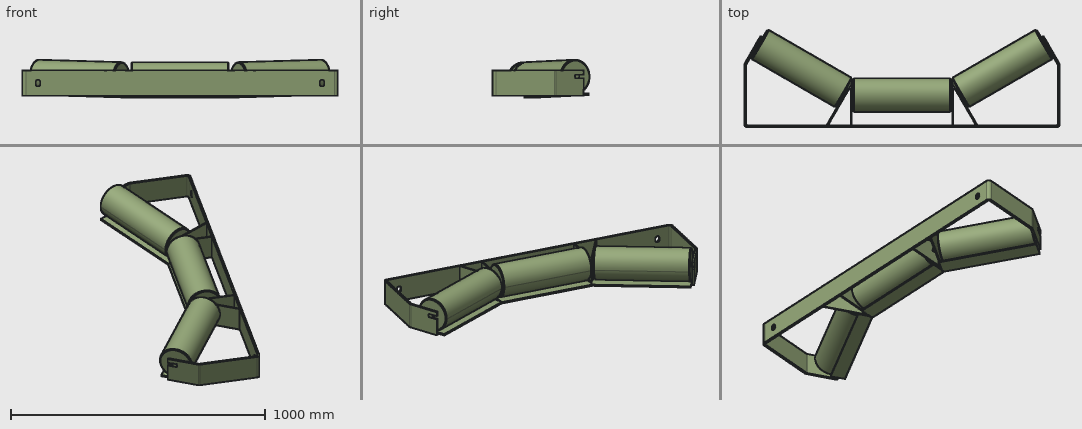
import cadquery as cq
import math


TROUGH_ANGLE = 30.0
TILT_ANGLE = 1.43
CENTRE_AXIS_Y = 126.0
WING_INNER_X = 229.0
WING_INNER_Y = 135.74

SHELL_DIAMETER = 133.0
SHELL_LENGTH = 381.0
SHELL_CHAMFER = 4.0
AXLE_DIAMETER = 20.0
AXLE_FLATS = 14.0

CENTRE_GAP = 6.0
WING_INNER_GAP = 6.0
WING_OUTER_GAP = 5.0

STRIP_WIDTH = 58.5
STRIP_LENGTH = 394.0
STRIP_THICKNESS = 6.6
STRIP_OVERLAP = 0.2
WING_STRIP_SHIFT = -5.8

FRAME_LENGTH = 1240.0
FRAME_HEIGHT = 100.0
FRAME_THICKNESS = 8.0
INNER_BEND_RADIUS = 6.0
FLAP_TIP_Y = 358.0
MOUNTING_SLOT_SPACING = 1115.0
MOUNTING_SLOT_WIDTH = 18.0
MOUNTING_SLOT_HEIGHT = 26.0

BRACKET_THICKNESS = 5.0
BRACKET_TOP_Y = 152.0
BRACKET_HEIGHT = 100.0

COS_TROUGH = math.cos(math.radians(TROUGH_ANGLE))
SIN_TROUGH = math.sin(math.radians(TROUGH_ANGLE))
TAN_TROUGH = math.tan(math.radians(TROUGH_ANGLE))
TAN_HALF_TROUGH = math.tan(math.radians(TROUGH_ANGLE / 2))
COS_TILT = math.cos(math.radians(TILT_ANGLE))

SHELL_RADIUS = SHELL_DIAMETER / 2
HALF_SHELL = SHELL_LENGTH / 2
STRIP_TOP = SHELL_RADIUS - STRIP_OVERLAP
AXIS_Z = STRIP_TOP
OUTER_BEND_RADIUS = INNER_BEND_RADIUS + FRAME_THICKNESS

SIDE_X = FRAME_LENGTH / 2
FLAP_DISTANCE = (
    WING_INNER_X * COS_TROUGH
    + WING_INNER_Y * SIN_TROUGH
    + SHELL_LENGTH * COS_TILT
    + WING_OUTER_GAP
    + FRAME_THICKNESS
)
FLAP_BEND_Y = (FLAP_DISTANCE - SIDE_X * COS_TROUGH) / SIN_TROUGH


def place_centre(body):
    """Moves a body from the roller origin to the centre roller."""
    return body.translate((0, CENTRE_AXIS_Y, AXIS_Z))


def place_wing(body):
    """Moves a body from the roller origin to the +X wing roller."""
    body = body.translate((HALF_SHELL, 0, 0))
    body = body.rotate((0, 0, 0), (0, 1, 0), -TILT_ANGLE)
    body = body.rotate((0, 0, 0), (0, 0, 1), TROUGH_ANGLE)
    return body.translate((WING_INNER_X, WING_INNER_Y, AXIS_Z))


def axle_bar(inner_reach, outer_reach):
    """Axle along X with two flats, reaching the given lengths past the shell ends."""
    length = SHELL_LENGTH + inner_reach + outer_reach
    round_bar = cq.Workplane("YZ").circle(AXLE_DIAMETER / 2).extrude(length)
    flat_bar = cq.Workplane("XY").box(
        length, AXLE_DIAMETER, AXLE_FLATS, centered=(False, True, True)
    )
    return round_bar.intersect(flat_bar).translate((-HALF_SHELL - inner_reach, 0, 0))


def roller(inner_reach, outer_reach, strip_shift):
    """Shell, axle and bottom strip, with the axis on X and the middle at the origin."""
    shell = cq.Workplane("YZ").circle(SHELL_RADIUS).extrude(SHELL_LENGTH)
    shell = shell.edges("%CIRCLE").chamfer(SHELL_CHAMFER).translate((-HALF_SHELL, 0, 0))
    strip = cq.Workplane("XY").box(
        STRIP_LENGTH, STRIP_WIDTH, STRIP_THICKNESS, centered=(True, False, False)
    )
    strip = strip.translate((strip_shift, 0, -STRIP_TOP - STRIP_THICKNESS))
    return shell.union(axle_bar(inner_reach, outer_reach)).union(strip)


def axle_slots():
    """Cutter for the open slots the two axle ends drop into, at the roller origin."""
    reach = 2 * FRAME_THICKNESS
    opening = cq.Workplane("XY").box(
        SHELL_LENGTH + 2 * reach, SHELL_DIAMETER, AXLE_FLATS, centered=(True, False, True)
    )
    return axle_bar(reach, reach).union(opening)


def half_frame():
    """The +X half of the frame: back strip, side and inward-leaning end flap."""
    tip_x = SIDE_X - (FLAP_TIP_Y - FLAP_BEND_Y) * TAN_TROUGH
    inner_x = SIDE_X - FRAME_THICKNESS
    outer_bends = [(SIDE_X, 0), (SIDE_X, FLAP_BEND_Y)]
    inner_bends = [
        (inner_x, FLAP_BEND_Y - FRAME_THICKNESS * TAN_HALF_TROUGH),
        (inner_x, FRAME_THICKNESS),
    ]
    flap_tip = [
        (tip_x, FLAP_TIP_Y),
        (tip_x - FRAME_THICKNESS * COS_TROUGH, FLAP_TIP_Y - FRAME_THICKNESS * SIN_TROUGH),
    ]
    outline = [(0, 0), *outer_bends, *flap_tip, *inner_bends, (0, FRAME_THICKNESS)]
    strip = cq.Workplane("XY").polyline(outline).close().extrude(FRAME_HEIGHT)
    for bends, radius in ((outer_bends, OUTER_BEND_RADIUS), (inner_bends, INNER_BEND_RADIUS)):
        for x, y in bends:
            bend_edge = cq.selectors.NearestToPointSelector((x, y, FRAME_HEIGHT / 2))
            strip = strip.edges(bend_edge).fillet(radius)
    mounting_slot = (
        cq.Workplane("XZ")
        .center(MOUNTING_SLOT_SPACING / 2, FRAME_HEIGHT / 2)
        .slot2D(MOUNTING_SLOT_HEIGHT, MOUNTING_SLOT_WIDTH, 90)
        .extrude(-FRAME_THICKNESS)
    )
    return strip.cut(mounting_slot).cut(place_wing(axle_slots()))


def wing_leg_x(y, inset):
    """X of the bracket's wing leg at height y, inset from its face beside the wing shell."""
    offset = WING_INNER_GAP + inset
    face_x = WING_INNER_X - offset * COS_TROUGH
    face_y = WING_INNER_Y - offset * SIN_TROUGH
    return face_x - (y - face_y) * TAN_TROUGH


def bracket():
    """The +X bracket: one leg beside the centre roller, one beside the wing roller."""
    centre_leg_x = HALF_SHELL + CENTRE_GAP
    centre_leg_back_x = centre_leg_x + BRACKET_THICKNESS
    bridge_y = BRACKET_TOP_Y - BRACKET_THICKNESS
    foot_y = FRAME_THICKNESS
    outline = [
        (centre_leg_x, foot_y),
        (centre_leg_x, BRACKET_TOP_Y),
        (wing_leg_x(BRACKET_TOP_Y, 0), BRACKET_TOP_Y),
        (wing_leg_x(foot_y, 0), foot_y),
        (wing_leg_x(foot_y, BRACKET_THICKNESS), foot_y),
        (wing_leg_x(bridge_y, BRACKET_THICKNESS), bridge_y),
        (centre_leg_back_x, bridge_y),
        (centre_leg_back_x, foot_y),
    ]
    folded = cq.Workplane("XY").polyline(outline).close().extrude(BRACKET_HEIGHT)
    return folded.cut(place_centre(axle_slots())).cut(place_wing(axle_slots()))


def centre_roller():
    reach = CENTRE_GAP + BRACKET_THICKNESS
    return place_centre(roller(reach, reach, 0))


def wing_roller():
    """The +X wing roller, its strip clipped where it meets the centre roller's strip."""
    inner_reach = WING_INNER_GAP + BRACKET_THICKNESS
    outer_reach = WING_OUTER_GAP + FRAME_THICKNESS
    wing = place_wing(roller(inner_reach, outer_reach, WING_STRIP_SHIFT))
    return wing.cut(centre_roller())


right_half = half_frame()
frame = right_half.union(right_half.mirror("YZ"))
right_bracket = bracket()
brackets = [right_bracket, right_bracket.mirror("YZ")]
right_wing = wing_roller()
rollers = [centre_roller(), right_wing, right_wing.mirror("YZ")]

result = cq.Compound.makeCompound([body.val() for body in [frame, *brackets, *rollers]])